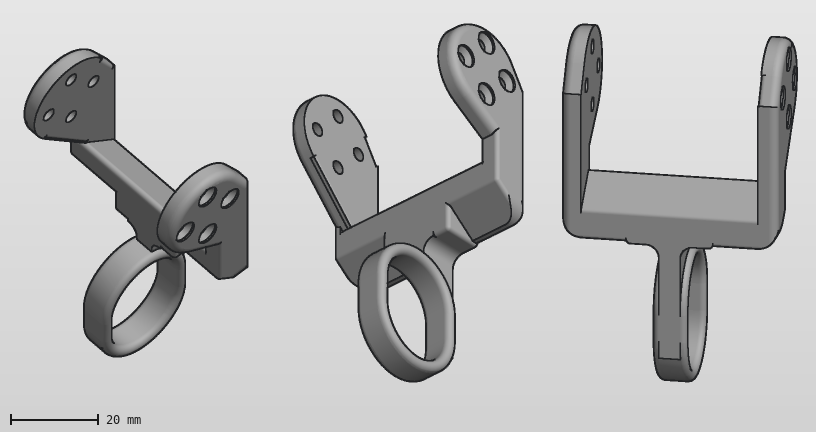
import cadquery as cq
import math

half_width = 25.095
depth = 10.0
edge_round = 1.0
outer_round = 2.0

beam_fall = 7.7
beam_top_front = 51.2
underside_front = 43.2
underside_back = underside_front - beam_fall
corner_radius = 5.0
beam_bottom = 36.8

fall_angle = math.atan(beam_fall / depth)
nose_foot_z = beam_top_front - edge_round * math.tan((math.pi / 2 + fall_angle) / 2)
nose_foot = (-depth, nose_foot_z)
nose_crest = (edge_round - depth, nose_foot_z + edge_round)

arm_thickness = 4.6
head_radius = 11.49
head_y = -13.6
head_z = 83 - head_radius
left_knee = (-depth, beam_top_front)
right_knee = (-depth, 55.9)

hole_spacing = 7.0
hole_diameter = 3.2
sink_diameter = 5.5
recess_depth = 0.5
sink_depth = 1.5

ring_radius = 11.49
ring_wall = 3.0
ring_width = 8.0
ring_straight = 6.55
ring_y = -(ring_radius + ring_wall / 2)
ring_bottom_z = ring_radius + ring_wall / 2
ring_top_z = ring_bottom_z + ring_straight

block_half_width = 10.08
block_bottom = 36.25
web_half_width = 2.5
web_flare = 3.0
web_bottom = 9.05


def beam():
    return (
        cq.Workplane("YZ", origin=(arm_thickness - half_width, 0, 0))
        .moveTo(0, underside_back)
        .lineTo(0, beam_top_front - beam_fall)
        .lineTo(-depth, beam_top_front)
        .lineTo(-depth, underside_front)
        .close()
        .extrude(2 * (half_width - arm_thickness))
        .edges("|X")
        .fillet(edge_round)
    )


def tangent_point(y, z, side):
    """Point where a line from (y, z) touches the head circle; side is +1 or -1."""
    distance = math.hypot(y - head_y, z - head_z)
    angle = math.atan2(z - head_z, y - head_y) - side * math.acos(head_radius / distance)
    return (head_y + head_radius * math.cos(angle), head_z + head_radius * math.sin(angle))


def arm_outline(x_start, knee):
    return (
        cq.Workplane("YZ", origin=(x_start, 0, 0))
        .moveTo(0, underside_back)
        .lineTo(0, head_z)
        .lineTo(*tangent_point(0, head_z, -1))
        .threePointArc((head_y - head_radius, head_z), tangent_point(*knee, 1))
        .lineTo(*knee)
    )


def arm_blank(outline):
    """Close an arm outline down its shank and round the lower front edge."""
    blank = outline.lineTo(-depth, underside_front).close().extrude(arm_thickness)
    margin = 0.1
    low = underside_front - margin
    high = underside_front + margin
    lower_front = cq.selectors.BoxSelector((-83, -depth - margin, low), (83, margin - depth, high))
    return blank.edges(lower_front).fillet(edge_round)


def round_outer_face(blank, outer_face, knee):
    """Round the back and head edges of an arm's outer face, then its front shank edge."""
    margin = 0.1
    reach = half_width + margin
    back_edge = cq.selectors.BoxSelector((-reach, -margin, 0), (reach, margin, 83))
    head_edges = cq.selectors.BoxSelector((-reach, -83, knee[1]), (reach, 0, 83))
    front_edge = cq.selectors.BoxSelector((-reach, -depth - margin, 0), (reach, margin - depth, 83))
    rounded = blank.faces(outer_face).edges(back_edge + head_edges).fillet(outer_round)
    return rounded.faces(outer_face).edges(front_edge).fillet(edge_round)


def inner_edge_cutter(start, end):
    """Waste to remove when rounding a straight inner edge of the left arm, solid on the left of start-end."""
    along = cq.Vector(0, end[0] - start[0], end[1] - start[1])
    corner = cq.Vector(arm_thickness - half_width, *start)
    return (
        cq.Workplane(cq.Plane(corner, xDir=(-1, 0, 0), normal=along))
        .lineTo(edge_round, 0)
        .radiusArc((0, edge_round), edge_round)
        .close()
        .extrude(along.Length)
    )


def left_nose_cutter():
    """Waste in front of the beam's rounded top edge where that edge runs into the left arm."""
    return (
        cq.Workplane("YZ", origin=(outer_round - half_width, 0, 0))
        .moveTo(*left_knee)
        .lineTo(*nose_crest)
        .radiusArc(nose_foot, -edge_round)
        .close()
        .extrude(arm_thickness - outer_round)
    )


def left_arm():
    outline = arm_outline(-half_width, left_knee)
    solid = round_outer_face(arm_blank(outline), "<X", left_knee).cut(left_nose_cutter())
    back_corner = (0, head_z)
    solid = solid.cut(inner_edge_cutter(back_corner, tangent_point(*back_corner, -1)))
    return solid.cut(inner_edge_cutter(tangent_point(*left_knee, 1), nose_crest))


def right_arm():
    outline = arm_outline(half_width - arm_thickness, right_knee)
    return round_outer_face(arm_blank(outline), ">X", right_knee)


def lower_envelope():
    """Large block that rounds the lower corners of the frame and its lower back edge."""
    far = 83
    corners = (
        cq.Workplane("XY", origin=(0, 0, beam_bottom))
        .box(2 * half_width, far, far, centered=(True, True, False))
        .edges("|Y and <Z")
        .fillet(corner_radius)
    )
    back_edge = (
        cq.Workplane("YZ", origin=(-half_width, 0, 0))
        .polyline([(0, underside_back), (0, far), (-far, far), (-far, underside_front), (-depth, underside_front)])
        .close()
        .extrude(2 * half_width)
        .edges("|X and >Y and <Z")
        .fillet(edge_round)
    )
    return corners.intersect(back_edge)


def screw_holes():
    """Four through holes per head, each countersunk below a shallow recess in the outer face."""
    drill = cq.Workplane("YZ").circle(hole_diameter / 2).extrude(half_width)
    socket = (
        cq.Workplane("XY")
        .lineTo(0, sink_diameter / 2)
        .lineTo(recess_depth, sink_diameter / 2)
        .lineTo(recess_depth + sink_depth, hole_diameter / 2)
        .lineTo(recess_depth + sink_depth, 0)
        .close()
        .revolve(360, (0, 0, 0), (1, 0, 0))
    )
    left_hole = drill.union(socket).translate((-half_width, head_y, head_z))
    cutters = cq.Workplane()
    for turn in range(4):
        angle = turn * math.pi / 2
        hole = left_hole.translate((0, hole_spacing * math.cos(angle), hole_spacing * math.sin(angle)))
        cutters = cutters.add(hole).add(hole.mirror("YZ"))
    return cutters.combine()


def block():
    """Centre block; its sloping top lies midway through the beam."""
    top_front = (beam_top_front + underside_front) / 2
    return (
        cq.Workplane("YZ", origin=(-block_half_width, 0, 0))
        .polyline([(0, block_bottom), (0, top_front - beam_fall), (-depth, top_front), (-depth, block_bottom)])
        .close()
        .extrude(2 * block_half_width)
        .edges("(|Z and <Y) or (<Z and (not >Y))")
        .fillet(edge_round)
    )


def web():
    """Thin plate from the block to the ring, flared where it meets the block."""
    flare_x = web_half_width + web_flare
    arc_z = block_bottom - web_flare
    return (
        cq.Workplane("XZ")
        .moveTo(-web_half_width, web_bottom)
        .lineTo(-web_half_width, arc_z)
        .radiusArc((-flare_x, block_bottom), -web_flare)
        .lineTo(-flare_x, block_bottom + edge_round)
        .lineTo(flare_x, block_bottom + edge_round)
        .lineTo(flare_x, block_bottom)
        .radiusArc((web_half_width, arc_z), -web_flare)
        .lineTo(web_half_width, web_bottom)
        .close()
        .extrude(depth)
        .cut(ring_opening())
    )


def loop_solid(radius, width):
    return (
        cq.Workplane("YZ", origin=(-width / 2, ring_y, (ring_bottom_z + ring_top_z) / 2))
        .slot2D(ring_straight + 2 * radius, 2 * radius, 90)
        .extrude(width)
    )


def ring_opening():
    return loop_solid(ring_radius, ring_width)


def ring():
    path = (
        cq.Workplane("YZ")
        .moveTo(ring_y + ring_radius, ring_bottom_z)
        .lineTo(ring_y + ring_radius, ring_top_z)
        .threePointArc((ring_y, ring_top_z + ring_radius), (ring_y - ring_radius, ring_top_z))
        .lineTo(ring_y - ring_radius, ring_bottom_z)
        .threePointArc((ring_y, ring_bottom_z - ring_radius), (ring_y + ring_radius, ring_bottom_z))
        .close()
    )
    section = cq.Workplane("XY", origin=(0, ring_y + ring_radius, ring_bottom_z))
    return section.slot2D(ring_width, ring_wall).sweep(path)


frame = beam().union(left_arm()).union(right_arm())
frame = frame.intersect(lower_envelope()).cut(screw_holes())
result = frame.union(block()).union(web()).union(ring())